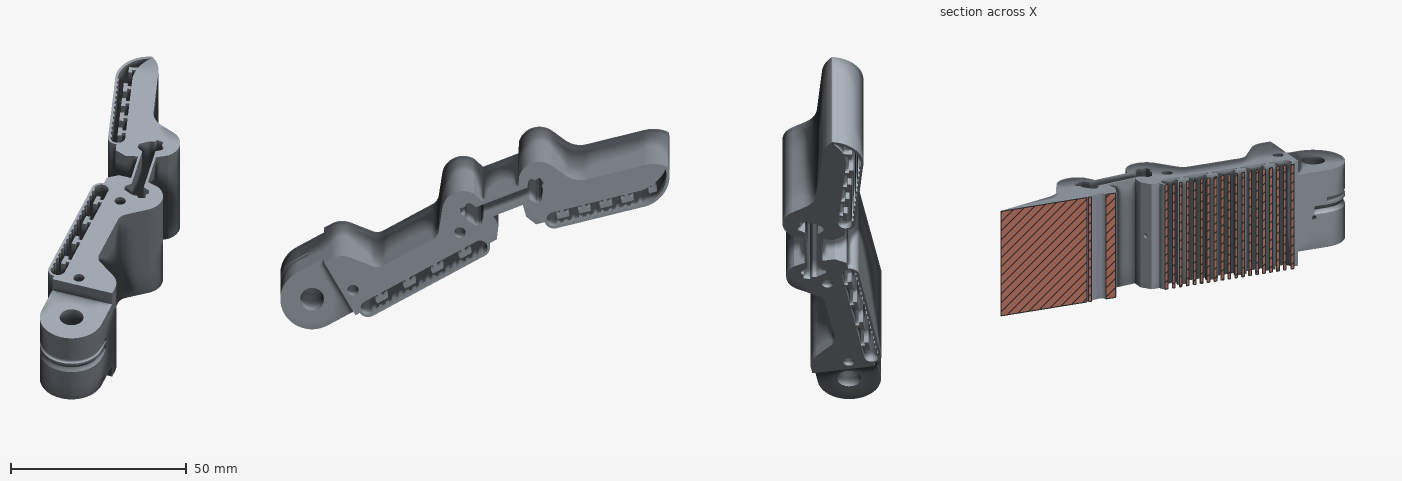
import cadquery as cq
import math

height = 31.75
half_width = 9.05
wall = 0.7

shoulder_step = 4.25
knuckle_height = height - 2 * shoulder_step
shoulder_y = 9.1
axle_diameter = 6.8
groove_half_width = 1.25
groove_depth = 0.75
groove_end_y = 3.85
slot_bottom_z = 1.95
slot_thickness = 1.5
slot_inner_end = [
    (-half_width, 0), (-5.0, 0), (-5.0, 6.2), (-3.5, 5.2), (-2.2, 5.4), (-1.1, 5.0),
    (5.3, 3.6), (7.5, 3.9), (half_width, 4.2),
]
tendon_diameter = 1.5
tendon_depth = 3.0
anchor_y = 4.0
anchor_z = -2.25

back_mid_y = 31.4
waist_fillet = 3.5
bulge_center_y = 51.2
bulge_radius = 6.05
bulge_center_x = half_width - bulge_radius
bulge_slope = 38.0
bulge_end_angle = 60.0
link_top_y = 57.5
strip_root_x = 2.6
corner_flat_x = -6.1
corner_side_y = 55.35
pin_hole_diameter = 3.2
pin_hole_x = -2.1
pin_hole_levels = (12.15, 47.2)

pad_bone_x = -6.75
pad_cavity_width = 4.2
pad_skin_x = pad_bone_x - pad_cavity_width
pad_outer_x = pad_skin_x - wall
pad_end_radius = pad_cavity_width / 2
pad_cavity_top_y = 52.1
pad_mid_y = 31.65
pad_arc_y = pad_cavity_top_y - pad_end_radius
pad_mid_x = pad_bone_x - pad_end_radius
tooth_first_y = 49.2
tooth_pitch = 2.19
tooth_length = 1.0
tooth_depth = 0.35
proximal_tooth_count = 17
distal_tooth_count = 12
post_reach = 2.3
post_head_thickness = 1.2
post_head_length = 3.5
post_stem_width = 1.1
proximal_post_count = 4
proximal_post_pitch = 9.07
distal_post_count = 4
distal_post_first_y = 47.2
distal_post_pitch = 6.33

distal_back_x = 0.4
distal_waist_fillet = 7.0
distal_back_end_y = 20.65
tip_x = -1.9
tip_y = 14.47
tip_fillet = 0.4
pad_nose_start_y = 25.2
bone_nose_start_y = 24.0
tip_back_bow = (-0.25, 17.3)
pad_outer_bow = (-9.15, 17.7)
pad_inner_bow = (-8.4, 18.2)
bone_nose_bow = (-5.2, 18.9)
pad_cavity_tip = (-2.3, 15.4)
nose_post_head_x = -8.1
nose_post_head_thickness = 1.0
nose_post_head_length = 2.3
nose_post_root_x = -5.6
nose_post_base_y = 19.5

hinge_angle = 7.5
hinge_mid = (1.47, 62.8)
hinge_strip_offset = -2.07
hinge_passage_width = 3.66
hinge_passage_length = 18.0
hinge_strip_length = 14.0
socket_points = [
    (-1.45, 55.3), (-2.9, 53.7), (-2.9, 52.9), (-2.5, 52.1), (0.45, 50.75), (1.65, 50.9),
    (2.4, 50.1), (4.25, 50.85), (3.87, 52.2), (4.55, 53.1), (4.2, 54.1), (2.4, 54.9),
]


def plate(sketch, thickness=height):
    """Extrude a closed XY outline evenly to both sides of Z = 0."""
    return sketch.extrude(thickness / 2, both=True)


def block(x_min, x_max, y_min, y_max):
    """Full-height box between the given X and Y limits."""
    outline = cq.Workplane("XY").center((x_min + x_max) / 2, (y_min + y_max) / 2)
    return plate(outline.rect(x_max - x_min, y_max - y_min))


def on_bulge(angle):
    """Point on the bulge circle at an angle in degrees from +X."""
    turn = math.radians(angle)
    return (bulge_center_x + bulge_radius * math.cos(turn), bulge_center_y + bulge_radius * math.sin(turn))


flank_start = on_bulge(bulge_slope - 90)


def flank_y(x):
    """Level of the straight back flank, tangent to the bulge, at a given x."""
    return flank_start[1] - (flank_start[0] - x) * math.tan(math.radians(bulge_slope))


def add_joint_end(outline):
    """Continue an outline from the waist, round the bulge and over the top to the pad side."""
    return (
        outline.lineTo(*flank_start)
        .threePointArc(on_bulge(0), on_bulge(bulge_end_angle))
        .lineTo(strip_root_x, link_top_y)
        .lineTo(corner_flat_x, link_top_y)
        .lineTo(-half_width, corner_side_y)
    )


def fillet_upright_edge(body, x, y, radius):
    """Round the single full-height edge at the given XY place."""
    return body.edges(cq.NearestToPointSelector((x, y, 0))).fillet(radius)


def skin_teeth(count):
    """Row of ribs on the inside of the pad skin."""
    teeth = cq.Workplane("XY")
    for index in range(count):
        center_y = tooth_first_y - index * tooth_pitch
        rib = block(pad_skin_x - wall / 2, pad_skin_x + tooth_depth,
                    center_y - tooth_length / 2, center_y + tooth_length / 2)
        teeth = teeth.add(rib)
    return teeth.combine()


def t_post(center_y):
    """T-shaped post standing off the bone into the pad cavity."""
    head_x = pad_bone_x - post_reach
    neck_x = head_x + post_head_thickness
    head = block(head_x, neck_x, center_y - post_head_length / 2, center_y + post_head_length / 2)
    stem = block(neck_x, pad_bone_x + wall, center_y - post_stem_width / 2, center_y + post_stem_width / 2)
    return head.union(stem)


def corner_tendon_hole():
    """Blind hole square to the sloped corner face of a link's joint end."""
    mid = ((corner_flat_x - half_width) / 2, (link_top_y + corner_side_y) / 2, 0)
    inward = (link_top_y - corner_side_y, -half_width - corner_flat_x, 0)
    plane = cq.Plane(origin=mid, xDir=(0, 0, 1), normal=inward)
    return cq.Workplane(plane).circle(tendon_diameter / 2).extrude(tendon_depth)


def across_hinge(body):
    """Mirror a body across the hinge's tilted mid line."""
    moved = body.translate((-hinge_mid[0], -hinge_mid[1], 0)).mirror("XZ")
    return moved.rotate((0, 0, 0), (0, 0, 1), 2 * hinge_angle).translate((*hinge_mid, 0))


def joint_socket():
    """Toothed pocket at the end of the hinge passage."""
    return plate(cq.Workplane("XY").polyline(socket_points).close())


def make_proximal_link():
    lower_flank_y = 2 * back_mid_y - flank_start[1]
    lower_bulge_y = 2 * back_mid_y - bulge_center_y
    lower_arc_mid = on_bulge((bulge_slope - 90) / 2)
    outline = (
        cq.Workplane("XY")
        .moveTo(-half_width, shoulder_y)
        .lineTo(half_width, shoulder_y)
        .lineTo(half_width, lower_bulge_y)
        .threePointArc((lower_arc_mid[0], 2 * back_mid_y - lower_arc_mid[1]),
                       (flank_start[0], lower_flank_y))
        .lineTo(0, 2 * back_mid_y - flank_y(0))
        .lineTo(0, flank_y(0))
    )
    body = plate(add_joint_end(outline).close())
    body = fillet_upright_edge(body, 0, flank_y(0), waist_fillet)
    body = fillet_upright_edge(body, 0, 2 * back_mid_y - flank_y(0), waist_fillet)

    cavity_length = 2 * (pad_cavity_top_y - pad_mid_y)
    pad_center = cq.Workplane("XY").center(pad_mid_x, pad_mid_y)
    skin = plate(pad_center.slot2D(cavity_length + 2 * wall, pad_cavity_width + 2 * wall, 90))
    cavity = plate(pad_center.slot2D(cavity_length, pad_cavity_width, 90))
    body = body.union(skin).cut(cavity).union(skin_teeth(proximal_tooth_count))
    for index in range(proximal_post_count):
        steps_from_middle = index - (proximal_post_count - 1) / 2
        body = body.union(t_post(pad_mid_y + steps_from_middle * proximal_post_pitch))

    pin_places = [(pin_hole_x, level) for level in pin_hole_levels]
    pins = plate(cq.Workplane("XY").pushPoints(pin_places).circle(pin_hole_diameter / 2))
    return body.cut(pins).cut(corner_tendon_hole())


def nose_post():
    """L-shaped post nearest the fingertip, standing on the curved nose of the bone."""
    neck_x = nose_post_head_x + nose_post_head_thickness
    base_y = nose_post_base_y
    stem = block(neck_x, nose_post_root_x, base_y, base_y + post_stem_width)
    head = block(nose_post_head_x, neck_x, base_y, base_y + nose_post_head_length)
    return head.union(stem)


def make_distal_link():
    """Fingertip link, built in the proximal frame and mirrored across the hinge."""
    outline = (
        cq.Workplane("XY")
        .moveTo(tip_x, tip_y)
        .threePointArc(tip_back_bow, (distal_back_x, distal_back_end_y))
        .lineTo(distal_back_x, flank_y(distal_back_x))
    )
    outline = (
        add_joint_end(outline)
        .lineTo(-half_width, pad_cavity_top_y + wall)
        .lineTo(pad_mid_x, pad_cavity_top_y + wall)
        .radiusArc((pad_outer_x, pad_arc_y), -(pad_end_radius + wall))
        .lineTo(pad_outer_x, pad_nose_start_y)
        .threePointArc(pad_outer_bow, (tip_x, tip_y))
        .close()
    )
    body = plate(outline)
    body = fillet_upright_edge(body, distal_back_x, flank_y(distal_back_x), distal_waist_fillet)
    body = fillet_upright_edge(body, tip_x, tip_y, tip_fillet)

    cavity = plate(
        cq.Workplane("XY")
        .moveTo(pad_bone_x, bone_nose_start_y)
        .lineTo(pad_bone_x, pad_arc_y)
        .threePointArc((pad_mid_x, pad_cavity_top_y), (pad_skin_x, pad_arc_y))
        .lineTo(pad_skin_x, pad_nose_start_y)
        .threePointArc(pad_inner_bow, pad_cavity_tip)
        .threePointArc(bone_nose_bow, (pad_bone_x, bone_nose_start_y))
        .close()
    )
    body = body.cut(cavity).union(skin_teeth(distal_tooth_count)).union(nose_post())
    for index in range(distal_post_count):
        body = body.union(t_post(distal_post_first_y - index * distal_post_pitch))
    return across_hinge(body.cut(corner_tendon_hole()))


def hinge_bar(width, length):
    """Full-height bar centered on the hinge and aligned with its strips."""
    bar = plate(cq.Workplane("XY").center(hinge_strip_offset, 0).rect(width, length))
    return bar.rotate((0, 0, 0), (0, 0, 1), hinge_angle).translate((*hinge_mid, 0))


def tendon_groove():
    """V groove round the knuckle nose, running straight back along both sides."""
    profile = [
        (half_width - groove_depth, 0),
        (half_width, groove_half_width),
        (half_width, -groove_half_width),
    ]
    nose = cq.Workplane("XZ").polyline(profile).close().revolve(180, (0, 0, 0), (0, -1, 0))
    side = cq.Workplane("XZ").polyline(profile).close().extrude(-groove_end_y)
    return nose.union(side).union(side.mirror("YZ"))


def horn_slot():
    """Flat slot open to the knuckle nose, with a stepped inner end."""
    nose_corners = [(half_width, -half_width), (-half_width, -half_width)]
    outline = cq.Workplane("XY").workplane(offset=slot_bottom_z).polyline(slot_inner_end + nose_corners)
    return outline.close().extrude(slot_thickness)


def make_knuckle():
    body = plate(
        cq.Workplane("XY")
        .moveTo(-half_width, shoulder_y)
        .lineTo(-half_width, 0)
        .threePointArc((0, -half_width), (half_width, 0))
        .lineTo(half_width, shoulder_y)
        .close(),
        knuckle_height,
    )
    axle = plate(cq.Workplane("XY").circle(axle_diameter / 2))
    anchor_plane = cq.Plane(origin=(-half_width, anchor_y, anchor_z), xDir=(0, 1, 0), normal=(1, 0, 0))
    anchor = cq.Workplane(anchor_plane).circle(tendon_diameter / 2).extrude(tendon_depth)
    return body.cut(axle).cut(tendon_groove()).cut(horn_slot()).cut(anchor)


hinge_strips = hinge_bar(hinge_passage_width + 2 * wall, hinge_strip_length)
hinge_passage = hinge_bar(hinge_passage_width, hinge_passage_length)

finger = make_knuckle().union(make_proximal_link()).union(make_distal_link()).union(hinge_strips)
result = finger.cut(hinge_passage).cut(joint_socket()).cut(across_hinge(joint_socket()))